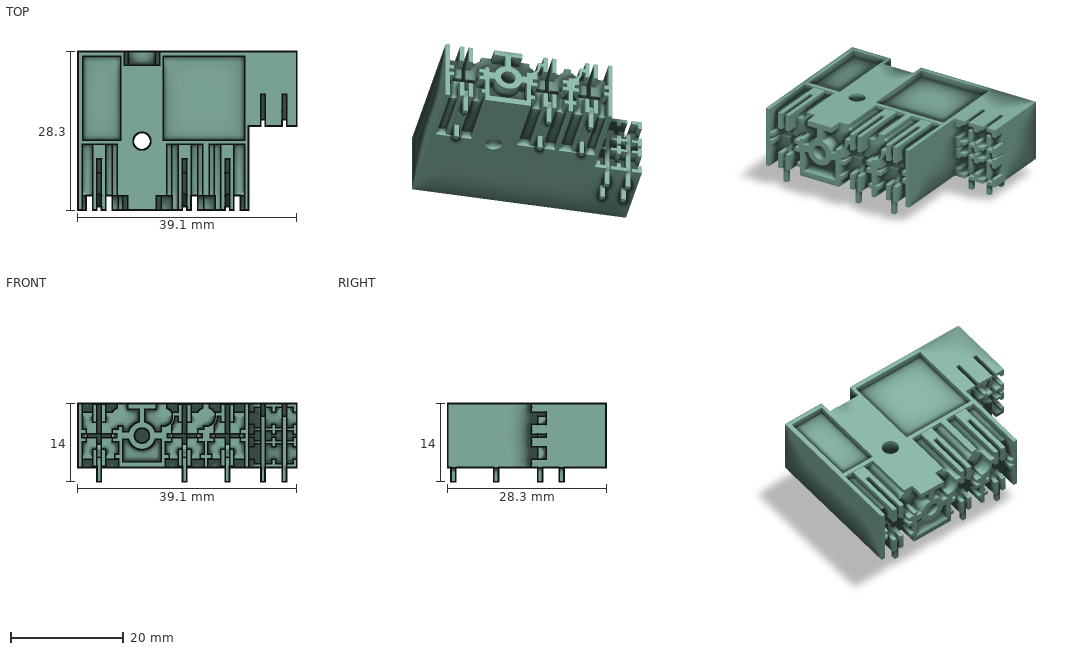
import cadquery as cq

width = 39.07
depth = 28.3
total_height = 14.0
pin_length = 2.55
height = total_height - pin_length
mid_z = height / 2
main_width = 30.45
aux_front_y = 14.97

pitch = 3.81
contact_xs = [pitch, 5 * pitch, 7 * pitch]
contact_half = 3.47
outer_half = 3.05
front_depth = 2.6
channel_end_y = 11.7
channel_depth = 1.53
channel_half = 3.22
bay_left = contact_xs[0] - outer_half
bay_right = contact_xs[-1] + outer_half

fork_half = 1.17
fork_top_inset = 0.15
fork_bottom_inset = 0.27
fork_gap_half = 2.4
slit_width = 0.8
slit_end_y = 9.2
blade_front_y = 0.6
blade_ramp_bottom_z = 1.88
blade_ramp = 2.26
blade_step_y = 6.7
plate_half_height = 0.37
plate_half = 2.16
pin_thickness = 0.88
blade_pin_ys = [blade_front_y, blade_front_y + 2 * pitch]

guide_edge = 2.32
guide_half_height = 1.13
guide_slot_half = 3.1
rib_width = 0.7
rib_bottom_z = 1.6
rib_height = 0.76
wire_xs = [2 * pitch, 4 * pitch, 6 * pitch]
wire_z = 9.0
wire_radius = 1.6
bead_radius = 1.75
cradle_outer_radius = 2.05
cradle_half = 0.38
cradle_cavity_top_z = 9.18

boss_x = 3 * pitch
boss_radius = 2.5
bore_radius = 1.33
bore_depth = 10.0
web_half_height = 0.69
boss_pocket_half = 3.43
boss_pocket_floor_z = 1.1
stem_width = 1.0
cap_width = 5.13
cap_thickness = 1.03
hole_y = 12.3
hole_radius = 1.54
notch_half = 3.19
notch_depth = 2.5
rear_boss_radius = 2.4

pocket_depth = 1.5
pocket_front_y = 12.47
pocket_back_y = 27.43
pocket_spans = [(0.88, 7.62), (15.22, 29.72)]

aux_first_x = 33.02
aux_xs = [aux_first_x, aux_first_x + pitch]
aux_slit_end_y = 20.7
aux_blade_front_y = 16.08
aux_blade_top_z = 9.15
aux_pin_ys = [aux_blade_front_y, aux_blade_front_y + pitch]
aux_recess_depth = 2.6
aux_cell_half = 1.55
aux_middle_cell = 0.88
aux_middle_row = 0.26
aux_outer_cell = (1.43, 5.02)
aux_outer_row = (2.02, 4.2)


def box(x0, x1, y0, y1, z0, z1):
    """Axis-aligned box between two corners."""
    return cq.Workplane("XY").box(x1 - x0, y1 - y0, z1 - z0, centered=False).translate((x0, y0, z0))


def rod(x, z, radius, y0, y1):
    """Cylinder along Y."""
    return cq.Workplane("XZ", origin=(x, y0, z)).circle(radius).extrude(y0 - y1)


def front_box(x0, x1, z0, z1):
    """Box spanning the depth of the front bays."""
    return box(x0, x1, 0, front_depth, z0, z1)


def wire_rod(x, radius, y0, y1):
    """Cylinder along a wire's axis."""
    return rod(x, wire_z, radius, y0, y1)


def body_block():
    """L-shaped block with its front bays cleared."""
    main = box(0, main_width, 0, depth, 0, height)
    aux = box(main_width, width, aux_front_y, depth, 0, height)
    return main.union(aux).cut(front_box(bay_left, bay_right, 0, height))


def contact_side(x, side, limit):
    """X of a contact bay's wall: an outside wall is nearer than a shared one."""
    return max(bay_left, min(bay_right, x + side * limit))


def channels(x):
    """Channels behind the front bays, above and below one contact."""
    top = box(
        contact_side(x, -1, channel_half), contact_side(x, 1, channel_half),
        front_depth, channel_end_y, height - channel_depth, height,
    )
    for wire_x in wire_xs:
        top = top.cut(wire_rod(wire_x, bead_radius, front_depth, channel_end_y))
    bottom = box(
        contact_side(x, -1, contact_half), contact_side(x, 1, contact_half),
        front_depth, channel_end_y, 0, channel_depth,
    )
    return top.union(bottom)


def fork(x):
    """Upper and lower legs of the fork around one contact."""
    x0 = x - fork_half
    x1 = x + fork_half
    upper = box(x0, x1, 0, channel_end_y, mid_z + fork_gap_half, height - fork_top_inset)
    lower = box(x0, x1, 0, channel_end_y, fork_bottom_inset, mid_z - fork_gap_half)
    return upper.union(lower)


def guides(x):
    """Guides on both sides of a contact bay."""
    z0 = mid_z - guide_half_height
    z1 = mid_z + guide_half_height
    left = front_box(contact_side(x, -1, contact_half), x - guide_edge, z0, z1)
    right = front_box(x + guide_edge, contact_side(x, 1, contact_half), z0, z1)
    return left.union(right)


def terminal_slots(x):
    """Groove for the plate, and the vertical slit for the blade."""
    z0 = mid_z - plate_half_height
    z1 = mid_z + plate_half_height
    groove = front_box(x - guide_slot_half, x + guide_slot_half, z0, z1)
    deep_slot = box(x - plate_half, x + plate_half, 0, slit_end_y, z0, z1)
    slit = box(x - slit_width / 2, x + slit_width / 2, 0, slit_end_y, 0, height)
    return groove.union(deep_slot).union(slit)


def pins(x, ys):
    """Solder pins under a blade."""
    made = cq.Workplane("XY")
    for y in ys:
        made = made.union(box(x - slit_width / 2, x + slit_width / 2, y, y + pin_thickness, -pin_length, 0))
    return made


def terminal(x):
    """Ramped blade with a plate to its left and two pins."""
    ramp_top_z = blade_ramp_bottom_z + blade_ramp
    blade = (
        cq.Workplane("YZ", origin=(x - slit_width / 2, 0, 0))
        .moveTo(blade_front_y, 0)
        .lineTo(blade_front_y, blade_ramp_bottom_z)
        .lineTo(blade_front_y + blade_ramp, ramp_top_z)
        .lineTo(blade_step_y, ramp_top_z)
        .lineTo(blade_step_y, mid_z + plate_half_height)
        .lineTo(slit_end_y, mid_z + plate_half_height)
        .lineTo(slit_end_y, 0)
        .close()
        .extrude(slit_width)
    )
    plate = box(
        x - plate_half, x + slit_width / 2, blade_step_y, slit_end_y,
        mid_z - plate_half_height, mid_z + plate_half_height,
    )
    return blade.union(plate).union(pins(x, blade_pin_ys))


def wire_seat(wire_x):
    """Narrow rest with a rounded top for a wire."""
    seat = front_box(wire_x - cradle_half, wire_x + cradle_half, mid_z, wire_z)
    return seat.cut(wire_rod(wire_x, wire_radius, 0, front_depth))


def shared_wall(wire_x):
    """Wall between two neighbouring contact bays."""
    wall_half = pitch - contact_half
    return front_box(wire_x - wall_half, wire_x + wall_half, 0, mid_z + guide_half_height)


def cradle(wire_x):
    """Curved shell from a wire seat up to the fork on its right."""
    contact_x = wire_x + pitch
    fork_side = contact_x - fork_half
    bottom_z = mid_z - guide_half_height
    shell = front_box(wire_x - cradle_half, fork_side, bottom_z, height - channel_depth)
    shell = shell.cut(wire_rod(wire_x, wire_radius, 0, front_depth))
    shell = shell.cut(front_box(wire_x - cradle_half, wire_x + wire_radius, wire_z, height))
    cavity = front_box(contact_x - guide_edge, fork_side, bottom_z, cradle_cavity_top_z)
    cavity = cavity.cut(wire_rod(wire_x, cradle_outer_radius, 0, front_depth))
    return shell.cut(cavity)


def rib(wall_x, side):
    """Small rib standing off a bay wall, to the given side."""
    free_x = wall_x + side * rib_width
    return front_box(min(wall_x, free_x), max(wall_x, free_x), rib_bottom_z, rib_bottom_z + rib_height)


def screw_boss():
    """Boss ring carried by a web, a U-shaped box below and a T above."""
    web_top_z = mid_z + web_half_height
    base = front_box(contact_xs[0] + contact_half, contact_xs[1] - contact_half, 0, web_top_z)
    base = base.cut(front_box(
        boss_x - boss_pocket_half, boss_x + boss_pocket_half, boss_pocket_floor_z, mid_z - web_half_height,
    ))
    stem = front_box(boss_x - stem_width / 2, boss_x + stem_width / 2, mid_z, height)
    cap = front_box(boss_x - cap_width / 2, boss_x + cap_width / 2, height - cap_thickness, height)
    ring = rod(boss_x, mid_z, boss_radius, 0, front_depth)
    return base.union(stem).union(cap).union(ring)


def rear_notch():
    """Notch in the rear edge, leaving a round-topped boss standing in it."""
    notch = box(
        boss_x - notch_half, boss_x + notch_half, depth - notch_depth, depth,
        mid_z - web_half_height, height,
    )
    return notch.cut(rod(boss_x, mid_z, rear_boss_radius, depth - notch_depth, depth))


def aux_recesses():
    """Openings in the front of the auxiliary section: cells joined by rows."""
    y0 = aux_front_y
    y1 = aux_front_y + aux_recess_depth
    cell_spans = [
        (mid_z - aux_middle_cell, mid_z + aux_middle_cell),
        (mid_z + aux_outer_cell[0], mid_z + aux_outer_cell[1]),
        (mid_z - aux_outer_cell[1], mid_z - aux_outer_cell[0]),
    ]
    row_spans = [
        (mid_z - aux_middle_row, mid_z + aux_middle_row),
        (mid_z + aux_outer_row[0], mid_z + aux_outer_row[1]),
        (mid_z - aux_outer_row[1], mid_z - aux_outer_row[0]),
    ]
    cutter = cq.Workplane("XY")
    for z0, z1 in row_spans:
        cutter = cutter.union(box(main_width, width, y0, y1, z0, z1))
    for x in aux_xs:
        for z0, z1 in cell_spans:
            cutter = cutter.union(box(x - aux_cell_half, x + aux_cell_half, y0, y1, z0, z1))
    return cutter


def aux_slit(x):
    """Full-height slit for an auxiliary blade."""
    return box(x - slit_width / 2, x + slit_width / 2, aux_front_y, aux_slit_end_y, 0, height)


def aux_terminal(x):
    """Plain blade with two pins."""
    blade = box(
        x - slit_width / 2, x + slit_width / 2, aux_blade_front_y, aux_slit_end_y, 0, aux_blade_top_z,
    )
    return blade.union(pins(x, aux_pin_ys))


part = body_block()
for contact_x in contact_xs:
    part = part.cut(channels(contact_x))
for contact_x in contact_xs:
    part = part.union(fork(contact_x)).union(guides(contact_x))
part = part.union(screw_boss())
for wire_x in wire_xs:
    part = part.union(wire_seat(wire_x))
for wire_x in wire_xs[1:]:
    part = part.union(cradle(wire_x))
part = part.union(shared_wall(wire_xs[-1]))
for contact_x in contact_xs[:-1]:
    part = part.union(rib(contact_x + contact_half, -1))
for contact_x in contact_xs[1:]:
    part = part.union(rib(contact_x - contact_half, 1))

for x_start, x_end in pocket_spans:
    part = part.cut(box(x_start, x_end, pocket_front_y, pocket_back_y, height - pocket_depth, height))
part = part.cut(rod(boss_x, mid_z, bore_radius, 0, bore_depth))
part = part.cut(cq.Workplane("XY").center(boss_x, hole_y).circle(hole_radius).extrude(height))
part = part.cut(rear_notch())

for contact_x in contact_xs:
    part = part.cut(terminal_slots(contact_x)).union(terminal(contact_x))
part = part.cut(aux_recesses())
for aux_x in aux_xs:
    part = part.cut(aux_slit(aux_x)).union(aux_terminal(aux_x))

result = part